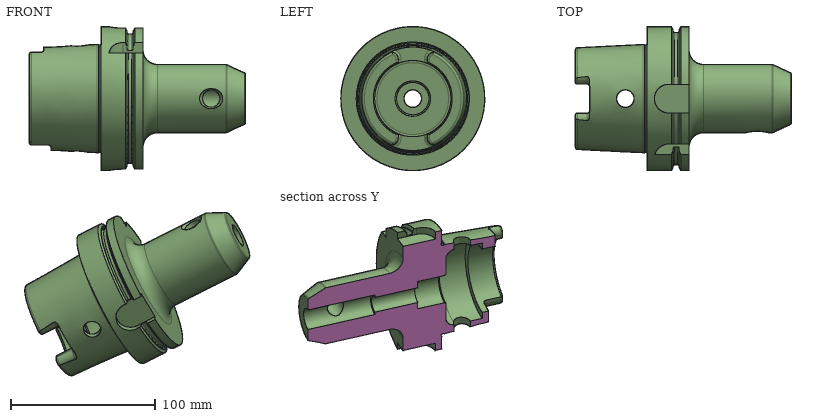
import cadquery as cq
import math


total_length = 150.0
taper_end = 47.1
flange_start = 50.0
flange_end = 79.0
nose_start = 137.0

taper_large_radius = 75.3 / 2
taper_ratio = 10.0
taper_small_radius = taper_large_radius - taper_end / taper_ratio / 2
flange_radius = 100.0 / 2
shank_radius = 47.5 / 2
nose_angle = 25.0
mouth_rounding = 1.8
shank_fillet = 10.0
nose_blend = 1.6
nose_rounding = 1.0

undercut_start = 48.0
undercut_ramp = 0.5
undercut_radius = 37.4
undercut_face_depth = 0.5
undercut_corner_radius = 1.2
undercut_rim_radius = 39.3

groove_center = 70.0
groove_half_width_top = 3.3
groove_half_width_wall = 2.1
groove_flank_angle = 30.0
groove_depth = 4.0
groove_corner_radius = 1.0

mouth_radius = 53.0 / 2
mouth_chamfer = 0.9
mouth_chamfer_length = 1.5
mouth_length = 20.0
cavity_radius = 63.0 / 2
cavity_depth = 46.8
cavity_floor_fillet = 6.6
thread_radius = 22.5 / 2
thread_chamfer = 1.0
thread_depth = 21.0
coolant_radius = 12.0 / 2
tool_bore_radius = 16.0 / 2
tool_bore_depth = 50.0

drive_half_width = 10.0
drive_straight_height = 27.3
drive_flare_radius = 5.0
drive_depth_top = 10.0
drive_depth_bottom = 15.0
drive_floor_fillet = 2.0
drive_edge_rounding = 1.5

keyway_width = 20.0
keyway_floor = 44.0
cutter_radius = keyway_width / 2
cutout_arc_center = 65.0
notch_inset = 31.5

access_hole_x = 34.8
access_hole_radius = 12.0 / 2
screw_x = 126.3
screw_radius = 12.0 / 2
screw_sink_radius = 16.0 / 2

clearance = 7.5
selection_margin = 0.2


def tan(degrees):
    return math.tan(math.radians(degrees))


def edges_at(x):
    """Selector for edges centred within the flange radius in a thin slice across the axis at x."""
    return cq.selectors.BoxSelector(
        (x - selection_margin, -flange_radius, -flange_radius),
        (x + selection_margin, flange_radius, flange_radius),
    )


def outer_body():
    nose_radius = shank_radius - (total_length - nose_start) * tan(nose_angle)
    undercut_bottom = flange_start + undercut_face_depth
    profile = (
        cq.Workplane("XY")
        .moveTo(0, 0)
        .lineTo(0, taper_small_radius)
        .lineTo(taper_end, taper_large_radius)
        .lineTo(undercut_start, taper_large_radius)
        .lineTo(undercut_start + undercut_ramp, undercut_radius)
        .lineTo(undercut_bottom - undercut_corner_radius, undercut_radius)
        .radiusArc((undercut_bottom, undercut_radius + undercut_corner_radius), -undercut_corner_radius)
        .lineTo(flange_start, undercut_rim_radius)
        .lineTo(flange_start, flange_radius)
        .lineTo(flange_end, flange_radius)
        .lineTo(flange_end, shank_radius + shank_fillet)
        .radiusArc((flange_end + shank_fillet, shank_radius), -shank_fillet)
        .lineTo(nose_start, shank_radius)
        .lineTo(total_length, nose_radius)
        .lineTo(total_length, 0)
        .close()
    )
    body = profile.revolve(360, (0, 0, 0), (1, 0, 0))
    body = body.faces("<X").edges().fillet(mouth_rounding)
    body = body.faces(">X").edges().fillet(nose_rounding)
    return body.edges(edges_at(nose_start)).fillet(nose_blend)


def gripper_groove():
    floor_radius = flange_radius - groove_depth
    wall_top = flange_radius - (groove_half_width_top - groove_half_width_wall) / tan(groove_flank_angle)
    corner_top = floor_radius + groove_corner_radius
    floor_half_width = groove_half_width_wall - groove_corner_radius
    profile = (
        cq.Workplane("XY")
        .moveTo(groove_center - groove_half_width_top, flange_radius)
        .lineTo(groove_center - groove_half_width_wall, wall_top)
        .lineTo(groove_center - groove_half_width_wall, corner_top)
        .radiusArc((groove_center - floor_half_width, floor_radius), -groove_corner_radius)
        .lineTo(groove_center + floor_half_width, floor_radius)
        .radiusArc((groove_center + groove_half_width_wall, corner_top), -groove_corner_radius)
        .lineTo(groove_center + groove_half_width_wall, wall_top)
        .lineTo(groove_center + groove_half_width_top, flange_radius)
        .lineTo(groove_center + groove_half_width_top, flange_radius + clearance)
        .lineTo(groove_center - groove_half_width_top, flange_radius + clearance)
        .close()
    )
    return profile.revolve(360, (0, 0, 0), (1, 0, 0))


def axial_bores():
    thread_end = cavity_depth + thread_depth
    tool_bore_start = total_length - tool_bore_depth
    profile = (
        cq.Workplane("XY")
        .moveTo(0, 0)
        .lineTo(0, mouth_radius + mouth_chamfer)
        .lineTo(mouth_chamfer_length, mouth_radius)
        .lineTo(mouth_length, mouth_radius)
        .lineTo(mouth_length, cavity_radius)
        .lineTo(cavity_depth - cavity_floor_fillet, cavity_radius)
        .radiusArc((cavity_depth, cavity_radius - cavity_floor_fillet), cavity_floor_fillet)
        .lineTo(cavity_depth, thread_radius + thread_chamfer)
        .lineTo(cavity_depth + thread_chamfer, thread_radius)
        .lineTo(thread_end, thread_radius)
        .lineTo(thread_end, coolant_radius)
        .lineTo(tool_bore_start, coolant_radius)
        .lineTo(tool_bore_start, tool_bore_radius)
        .lineTo(total_length, tool_bore_radius)
        .lineTo(total_length, 0)
        .close()
    )
    return profile.revolve(360, (0, 0, 0), (1, 0, 0))


def drive_slot(depth, side):
    """Slot across one side of the taper end; side is +1 for the top and -1 for the bottom."""
    shoulder_y = drive_half_width + drive_flare_radius
    shoulder_z = side * (drive_straight_height + drive_flare_radius)
    arc_z = side * drive_straight_height
    rim_z = side * (taper_large_radius + clearance)
    bend = side * drive_flare_radius
    slot = (
        cq.Workplane("YZ")
        .moveTo(-drive_half_width, 0)
        .lineTo(-drive_half_width, arc_z)
        .radiusArc((-shoulder_y, shoulder_z), -bend)
        .lineTo(-taper_large_radius, shoulder_z)
        .lineTo(-taper_large_radius, rim_z)
        .lineTo(taper_large_radius, rim_z)
        .lineTo(taper_large_radius, shoulder_z)
        .lineTo(shoulder_y, shoulder_z)
        .radiusArc((drive_half_width, arc_z), -bend)
        .lineTo(drive_half_width, 0)
        .close()
        .extrude(depth)
    )
    slot = slot.faces(">X").edges().fillet(drive_floor_fillet)
    plate_size = 4 * flange_radius
    cutter = cq.Workplane("YZ").rect(plate_size, plate_size).extrude(-clearance).union(slot)
    return cutter.edges(edges_at(0)).fillet(drive_edge_rounding)


def flange_keyway(side):
    """Round-ended keyway, open toward the shank, on the top (+1) or bottom (-1) of the flange."""
    return (
        cq.Workplane("XY", origin=(0, 0, side * keyway_floor))
        .moveTo(flange_end, -cutter_radius)
        .lineTo(cutout_arc_center, -cutter_radius)
        .threePointArc((cutout_arc_center - cutter_radius, 0), (cutout_arc_center, cutter_radius))
        .lineTo(flange_end, cutter_radius)
        .close()
        .extrude(side * flange_radius)
    )


def orientation_notch():
    """Corner notch at the -Y, +Z side, with one vertical wall that ends in a cutter radius."""
    outer_y = -notch_inset - cutter_radius
    return (
        cq.Workplane("XY", origin=(0, 0, notch_inset))
        .moveTo(flange_end, -notch_inset)
        .lineTo(cutout_arc_center, -notch_inset)
        .radiusArc((cutout_arc_center - cutter_radius, outer_y), -cutter_radius)
        .lineTo(flange_end, outer_y)
        .close()
        .extrude(flange_radius)
    )


def access_hole():
    return (
        cq.Workplane("XY", origin=(access_hole_x, 0, -flange_radius))
        .circle(access_hole_radius)
        .extrude(2 * flange_radius)
    )


def screw_hole():
    """Radial clamping-screw hole from the -Y side with a 45 degree countersink."""
    sink_depth = screw_sink_radius - screw_radius
    profile = (
        cq.Workplane("XY")
        .moveTo(screw_x, 0)
        .lineTo(screw_x + screw_radius, 0)
        .lineTo(screw_x + screw_radius, sink_depth - shank_radius)
        .lineTo(screw_x + screw_sink_radius, -shank_radius)
        .lineTo(screw_x + screw_sink_radius, -shank_radius - clearance)
        .lineTo(screw_x, -shank_radius - clearance)
        .close()
    )
    return profile.revolve(360, (screw_x, 0, 0), (screw_x, 1, 0))


result = outer_body().cut(gripper_groove()).cut(axial_bores())
result = result.cut(drive_slot(drive_depth_top, 1)).cut(drive_slot(drive_depth_bottom, -1))
result = result.cut(flange_keyway(1)).cut(flange_keyway(-1)).cut(orientation_notch())
result = result.cut(access_hole()).cut(screw_hole())